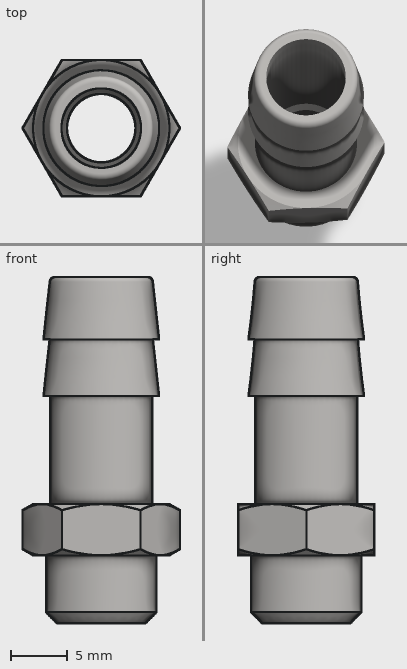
import cadquery as cq
import math


thread_diameter = 9.73
thread_length = 6.0
thread_chamfer = 1.0

hex_sides = 6
hex_across_flats = 12.0
hex_height = 4.5
hex_chamfer_angle = 30.0

stem_diameter = 9.0
barb_diameter = 10.2
barb_tip_diameter = stem_diameter
barb_length = 5.5
barb_pitch = 5.0
barb_count = 2
tip_fillet = 0.5
total_length = 30.5

narrow_bore_diameter = 6.0
wide_bore_diameter = 7.0
drill_cone_slope = 30.0

hex_top = thread_length + hex_height
wide_bore_bottom = hex_top


def cylinder(diameter, bottom, height):
    return cq.Workplane("XY", origin=(0, 0, bottom)).circle(diameter / 2).extrude(height)


def revolved(outline):
    """Revolve a closed (radius, height) outline around the Z axis."""
    return cq.Workplane("XZ").polyline(outline).close().revolve(360, (0, 0), (0, 1))


def threaded_spigot():
    return cylinder(thread_diameter, 0, thread_length).faces("<Z").chamfer(thread_chamfer)


def hexagon():
    """Hexagonal prism with its corners turned to a cone at both ends."""
    flat_radius = hex_across_flats / 2
    corner_radius = flat_radius / math.cos(math.pi / hex_sides)
    corner_drop = (corner_radius - flat_radius) * math.tan(math.radians(hex_chamfer_angle))
    prism = (
        cq.Workplane("XY", origin=(0, 0, thread_length))
        .polygon(hex_sides, 2 * corner_radius)
        .extrude(hex_height)
    )
    turned_envelope = revolved([
        (0, thread_length),
        (flat_radius, thread_length),
        (corner_radius, thread_length + corner_drop),
        (corner_radius, hex_top - corner_drop),
        (flat_radius, hex_top),
        (0, hex_top),
    ])
    return prism.intersect(turned_envelope)


def barb(bottom):
    """Cone that narrows upward from a sharp lower edge."""
    top = bottom + barb_length
    return revolved([
        (0, bottom),
        (barb_diameter / 2, bottom),
        (barb_tip_diameter / 2, top),
        (0, top),
    ])


def hose_tail():
    """Plain stem with the barbs stacked at its end; each barb overlaps the next one up."""
    top_barb_bottom = total_length - barb_length
    tail = barb(top_barb_bottom).faces(">Z").edges().fillet(tip_fillet)
    for index in range(1, barb_count):
        lower_barb = barb(top_barb_bottom - index * barb_pitch)
        tail = tail.union(lower_barb)
    stem_top = top_barb_bottom - (barb_count - 1) * barb_pitch
    return tail.union(cylinder(stem_diameter, hex_top, stem_top - hex_top))


def stepped_bore():
    """Through bore, widened from the top down to a conical drill shoulder."""
    narrow_radius = narrow_bore_diameter / 2
    wide_radius = wide_bore_diameter / 2
    shoulder_height = (wide_radius - narrow_radius) * math.tan(math.radians(drill_cone_slope))
    return revolved([
        (0, 0),
        (narrow_radius, 0),
        (narrow_radius, wide_bore_bottom),
        (wide_radius, wide_bore_bottom + shoulder_height),
        (wide_radius, total_length),
        (0, total_length),
    ])


result = threaded_spigot().union(hexagon()).union(hose_tail()).cut(stepped_bore())